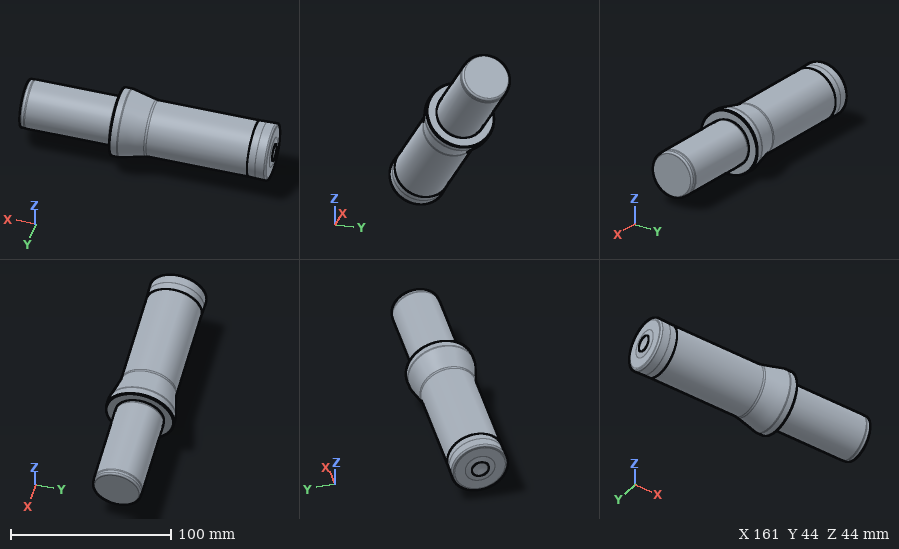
import cadquery as cq
import math


head_length = 12.9
crown_rim_diameter = 11.0
crown_base_diameter = 19.2
crown_height = 0.6
dimple_depth = 1.0
face_diameter = 32.7
face_edge_x = 0.8
head_front_diameter = 36.7
corner_radius = 1.1
head_middle = 7.7
head_middle_diameter = 36.4

neck_diameter = 36.0
neck_end = 78.1
flare_start = 79.5
flare_end = 95.5
flare_start_diameter = 36.4
flare_end_diameter = 43.8
collar_diameter = 44.0
collar_start = 96.1
collar_end = 101.1
collar_chamfer = 0.5

shank_diameter = 31.5
shank_relief_diameter = 31.2
relief_cone_start = 101.9
relief_cone_end = 102.9
tail_step_start = 157.1
tail_step_end = 158.0
tail_radius = 1.3
total_length = 161.0


def point(x, diameter):
    """Profile point at a position along the axis, given the diameter there."""
    return (x, diameter / 2)


def revolve_about_x(profile):
    return profile.close().revolve(360, (0, 0, 0), (1, 0, 0))


def quarter_arc_middle(center_x, center_radius, radius, side):
    """Middle of an outer corner arc; side is -1 at the front and 1 at the tail."""
    reach = radius * math.sqrt(0.5)
    return (center_x + side * reach, center_radius + reach)


def make_head():
    """Rounded, slightly tapered head with a raised crown around a conical dimple."""
    corner_center_x = face_edge_x + corner_radius
    corner_center_radius = head_front_diameter / 2 - corner_radius
    corner_middle = quarter_arc_middle(corner_center_x, corner_center_radius, corner_radius, -1)
    profile = (
        cq.Workplane("XY")
        .moveTo(dimple_depth, 0)
        .lineTo(*point(0, crown_rim_diameter))
        .lineTo(*point(crown_height, crown_base_diameter))
        .lineTo(*point(face_edge_x, face_diameter))
        .lineTo(face_edge_x, corner_center_radius)
        .threePointArc(corner_middle, point(corner_center_x, head_front_diameter))
        .lineTo(*point(head_middle, head_middle_diameter))
        .lineTo(*point(head_length, neck_diameter))
        .lineTo(head_length, 0)
    )
    return revolve_about_x(profile)


def make_body():
    """Neck flaring into a collar, followed by a relieved shank with a rounded tail."""
    tail_center_x = total_length - tail_radius
    tail_center_radius = shank_relief_diameter / 2 - tail_radius
    tail_middle = quarter_arc_middle(tail_center_x, tail_center_radius, tail_radius, 1)
    profile = (
        cq.Workplane("XY")
        .moveTo(head_length, 0)
        .lineTo(*point(head_length, neck_diameter))
        .lineTo(*point(neck_end, neck_diameter))
        .lineTo(*point(flare_start, flare_start_diameter))
        .lineTo(*point(flare_end, flare_end_diameter))
        .lineTo(*point(collar_start, collar_diameter))
        .lineTo(*point(collar_end - collar_chamfer, collar_diameter))
        .lineTo(*point(collar_end, collar_diameter - 2 * collar_chamfer))
        .lineTo(*point(collar_end, shank_relief_diameter))
        .lineTo(*point(relief_cone_start, shank_relief_diameter))
        .lineTo(*point(relief_cone_end, shank_diameter))
        .lineTo(*point(tail_step_start, shank_diameter))
        .lineTo(*point(tail_step_end, shank_relief_diameter))
        .lineTo(*point(tail_center_x, shank_relief_diameter))
        .threePointArc(tail_middle, (total_length, tail_center_radius))
        .lineTo(total_length, 0)
    )
    return revolve_about_x(profile)


head = make_head()
body = make_body()

result = cq.Compound.makeCompound([head.val(), body.val()])